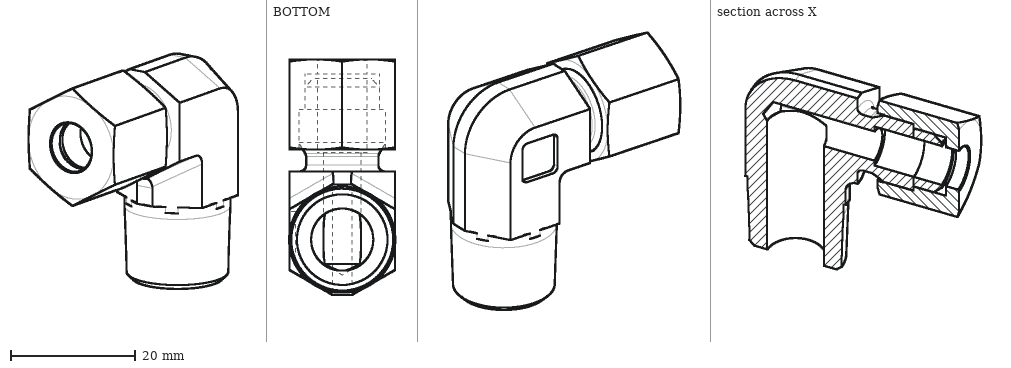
import cadquery as cq
import math


across_flats = 17.0
apothem = across_flats / 2
corner_radius = apothem / math.cos(math.radians(30))

body_half = 8.9
arm_end = 11.0
leg_end = 14.0
crotch_radius = 2.0
blank_length = 22.77

recess_size = 7.02
recess_corner = 1.0
recess_depth = 1.0
recess_offset = 1.0

pipe_diameter = 17.1
pipe_collar_end = 16.0
pipe_end = 27.97
pipe_taper = 1 / 16
pipe_chamfer = 0.9
flat_width = 2.05
flat_end = 15.0

neck_diameter = 11.7
stub_diameter = 14.0
neck_fillet = 1.0
runout_start = 13.85
runout_angle = math.radians(30)
stub_end = 21.0

tube_diameter = 8.0
tube_stop = 14.0
flow_bore = 6.0
flow_bore_tip = 5.7
leg_bore = 10.0
leg_bore_top = 1.15
drill_half_angle = math.radians(60)

nut_start = 14.5
nut_end = 29.05
nut_chamfer_angle = math.radians(15)
mouth_chamfer = 0.2
lip_end = 26.65

ring_diameter = 12.0
nose_diameter = 9.37
ring_end = 25.92


def turned(points, axis):
    """Solid turned about the Y or Z axis from (radius, distance along the negative axis) points."""
    plane = "XY" if axis == "Y" else "XZ"
    profile = [(radius, -distance) for radius, distance in points]
    return cq.Workplane(plane).polyline(profile).close().revolve(360, (0, 0, 0), (0, 1, 0))


def hex_points():
    """Hexagon with flats facing +X and -X and a corner on the second axis."""
    angles = [math.radians(30 + 60 * i) for i in range(6)]
    return [(corner_radius * math.cos(a), corner_radius * math.sin(a)) for a in angles]


def hex_arm(start, end):
    """Hexagonal bar along -Y between two distances from the origin."""
    return (cq.Workplane("XZ").workplane(offset=start)
            .polyline(hex_points()).close().extrude(end - start))


def hex_bend():
    """Two hexagonal bars joined by a turned outer bend and a filleted inner corner."""
    arm = hex_arm(0, blank_length)
    leg = cq.Workplane("XY").polyline(hex_points()).close().extrude(-blank_length)
    half_hexagon = [(apothem, 0), (apothem, corner_radius / 2), (0, corner_radius),
                    (-apothem, corner_radius / 2), (-apothem, 0)]
    bend = (cq.Workplane("XZ").polyline(half_hexagon).close()
            .revolve(90, (0, 0, 0), (-1, 0, 0)))
    positive_side = cq.Workplane("XY").box(apothem, 4 * blank_length, 4 * blank_length,
                                           centered=(False, True, True))
    half = arm.union(leg).union(bend).intersect(positive_side)
    inner_corner = (corner_radius + corner_radius / 2) / 2
    crotch_edge = cq.selectors.NearestToPointSelector((apothem / 2, -inner_corner, -inner_corner))
    half = half.edges(crotch_edge).fillet(crotch_radius)
    return half.union(half.mirror("YZ"))


def body_envelope():
    """L-shaped side outline that trims the hexagon corners and both ends."""
    crotch = body_half + crotch_radius
    outer_mid = body_half * math.sqrt(0.5)
    inner_mid = crotch - crotch_radius * math.sqrt(0.5)
    outline = (cq.Workplane("YZ", origin=(-apothem, 0, 0))
               .moveTo(-arm_end, body_half)
               .lineTo(0, body_half)
               .threePointArc((outer_mid, outer_mid), (body_half, 0))
               .lineTo(body_half, -leg_end)
               .lineTo(-body_half, -leg_end)
               .lineTo(-body_half, -crotch)
               .threePointArc((-inner_mid, -inner_mid), (-crotch, -body_half))
               .lineTo(-arm_end, -body_half)
               .close())
    return outline.extrude(across_flats)


def marking_recess():
    """Square pocket with rounded corners."""
    return (cq.Workplane("YZ", origin=(-apothem, -recess_offset, -recess_offset))
            .rect(recess_size, recess_size).extrude(recess_depth)
            .edges("|X").fillet(recess_corner))


def pipe_thread():
    """Collar and tapered thread, with a flat below each face of the hexagonal leg."""
    radius = pipe_diameter / 2
    chamfer_start = pipe_end - pipe_chamfer
    end_radius = radius - (chamfer_start - pipe_collar_end) * pipe_taper / 2
    thread = turned([(0, leg_end), (0, pipe_end), (end_radius - pipe_chamfer, pipe_end),
                     (end_radius, chamfer_start), (radius, pipe_collar_end),
                     (radius, leg_end)], "Z")
    flat_height = flat_end - leg_end
    for i in range(6):
        flat = (cq.Workplane("XY", origin=(0, 0, -flat_end))
                .box(apothem, flat_width, flat_height, centered=(False, True, False))
                .translate((apothem, 0, 0))
                .rotate((0, 0, 0), (0, 0, 1), 60 * i))
        thread = thread.cut(flat)
    return thread


def tube_stub():
    """Neck with a fillet at each end, thread runout cone and thread cylinder."""
    neck = neck_diameter / 2
    outer = stub_diameter / 2
    diagonal = neck_fillet * (1 - math.sqrt(0.5))
    runout_rise = neck_fillet * (1 - math.cos(runout_angle))
    half_rise = neck_fillet * (1 - math.cos(runout_angle / 2))
    neck_end = runout_start - neck_fillet * math.sin(runout_angle)
    half_way = neck_end + neck_fillet * math.sin(runout_angle / 2)
    runout_end = runout_start + (outer - neck - runout_rise) / math.tan(runout_angle)
    return (cq.Workplane("XY")
            .moveTo(0, -arm_end)
            .lineTo(neck + neck_fillet, -arm_end)
            .threePointArc((neck + diagonal, -arm_end - diagonal), (neck, -arm_end - neck_fillet))
            .lineTo(neck, -neck_end)
            .threePointArc((neck + half_rise, -half_way), (neck + runout_rise, -runout_start))
            .lineTo(outer, -runout_end)
            .lineTo(outer, -stub_end)
            .lineTo(0, -stub_end)
            .close()
            .revolve(360, (0, 0, 0), (0, 1, 0)))


def drilled_hole(diameter, start, end):
    """Radius and distance points of a blind hole; the drill point begins at distance end."""
    radius = diameter / 2
    tip = end - radius / math.tan(drill_half_angle)
    return [(0, start), (radius, start), (radius, end), (0, tip)]


def make_elbow():
    """Elbow body with its thread, stub, recess and crossing bores."""
    flow_end = flow_bore / 2 / math.tan(drill_half_angle) - flow_bore_tip
    flow_hole = turned(drilled_hole(flow_bore, tube_stop, flow_end), "Y")
    socket = (cq.Workplane("XZ").workplane(offset=tube_stop)
              .circle(tube_diameter / 2).extrude(stub_end - tube_stop))
    leg_hole = turned(drilled_hole(leg_bore, pipe_end, leg_bore_top), "Z")
    elbow = hex_bend().intersect(body_envelope())
    elbow = elbow.union(pipe_thread()).union(tube_stub())
    return elbow.cut(marking_recess()).cut(socket).cut(flow_hole).cut(leg_hole)


def make_nut():
    """Hexagon nut with chamfered corners, bored in steps for the stub, the ring and the tube."""
    corner_drop = (corner_radius - apothem) * math.tan(nut_chamfer_angle)
    corner_cone = turned([(0, nut_start), (apothem, nut_start),
                          (corner_radius, nut_start + corner_drop),
                          (corner_radius, nut_end - corner_drop),
                          (apothem, nut_end), (0, nut_end)], "Y")
    mouth = tube_diameter / 2
    cavity = turned([(0, nut_start), (stub_diameter / 2, nut_start), (stub_diameter / 2, stub_end),
                     (ring_diameter / 2, stub_end), (ring_diameter / 2, lip_end),
                     (mouth, lip_end),
                     (mouth, nut_end - mouth_chamfer), (mouth + mouth_chamfer, nut_end),
                     (0, nut_end)], "Y")
    return hex_arm(nut_start, nut_end).intersect(corner_cone).cut(cavity)


def make_ring():
    """Ring with a chamfered nose, seated on the end of the stub inside the nut."""
    inner = tube_diameter / 2
    outer = ring_diameter / 2
    nose = nose_diameter / 2
    return turned([(inner, stub_end), (outer, stub_end), (outer, ring_end - (outer - nose)),
                   (nose, ring_end), (inner, ring_end)], "Y")


elbow = make_elbow()
nut = make_nut()
ring = make_ring()

result = cq.Compound.makeCompound([body.solids().val() for body in (elbow, nut, ring)])